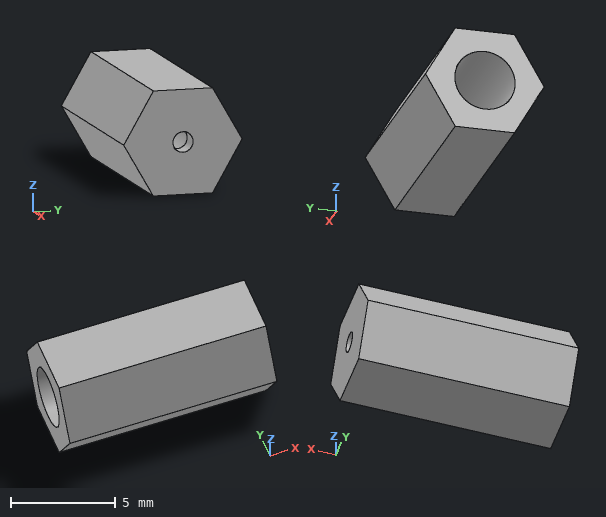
import cadquery as cq
import math

length = 10.6
side_count = 6
across_flats = 5.13
across_corners = across_flats / math.cos(math.pi / side_count)

bore_diameter = 3.0
through_hole_diameter = 1.0
end_wall = 1.0
bore_depth = length - end_wall


def hex_body():
    """Hexagonal prism with corners on +/-Y and flats on +/-Z, starting at X = 0."""
    return cq.Workplane("YZ").polygon(side_count, across_corners).extrude(length)


def axial_hole(diameter, depth):
    """Cylinder to cut along the X axis from the -X face."""
    return cq.Workplane("YZ").circle(diameter / 2).extrude(depth)


result = (
    hex_body()
    .cut(axial_hole(bore_diameter, bore_depth))
    .cut(axial_hole(through_hole_diameter, length))
)